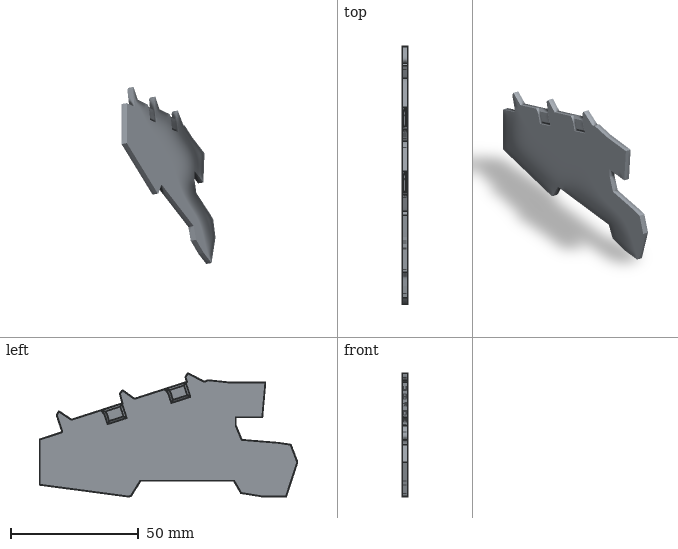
import cadquery as cq
import math

PLATE_THICKNESS = 2.2

RAMP_ANGLE = 18.0
RECESS_DEPTH = 1.7
RECESS_CORNERS = [(66.8, 30.8), (41.9, 39.0)]
INSERT_HEIGHT = 6.1
INSERT_FOOT_WIDTH = 7.9
INSERT_TOP_WIDTH = 8.9
FLARE_START = 3.6
INSERT_FRONT_GAP = 0.4
BEVEL_WIDTH = 1.0
BEVEL_DEPTH = 0.9
CUT_MARGIN = 0.4

PLATE_OUTLINE = [
    (100.9, 4.6), (66.0, 0.0), (65.1, 0.3), (61.4, 6.2), (24.8, 6.2),
    (22.1, 1.4), (13.4, 0.0), (4.4, 0.0),
    (0.0, 13.5), (2.6, 20.4), (7.2, 21.1), (21.8, 22.3), (24.1, 27.8), (24.1, 31.1),
    (13.7, 31.1), (12.5, 44.7), (26.3, 44.7), (34.9, 45.6), (36.4, 45.0),
    (42.9, 48.3), (43.9, 46.8), (43.3, 44.9), (63.7, 38.3),
    (68.4, 41.7), (69.5, 40.3), (68.5, 36.5), (88.4, 30.2),
    (93.3, 33.4), (94.2, 32.0), (92.0, 25.3), (100.9, 22.4),
]


def pocket_plane(corner, depth):
    """Plane at the given depth, local x along the ramp toward +Y, local y up the recess."""
    angle = math.radians(RAMP_ANGLE)
    y, z = corner
    ramp_direction = (0, math.cos(angle), -math.sin(angle))
    return cq.Plane(origin=(depth, y, z), xDir=ramp_direction, normal=(1, 0, 0))


def flared_prism(corner, depth, length, top_extension=0.0):
    """Block with one curved, flared side, extruded along +X from the given depth."""
    flare_middle = (
        INSERT_FOOT_WIDTH + (INSERT_TOP_WIDTH - INSERT_FOOT_WIDTH) / 4,
        (FLARE_START + INSERT_HEIGHT) / 2,
    )
    profile = (
        cq.Workplane(pocket_plane(corner, depth))
        .lineTo(INSERT_FOOT_WIDTH, 0)
        .lineTo(INSERT_FOOT_WIDTH, FLARE_START)
        .threePointArc(flare_middle, (INSERT_TOP_WIDTH, INSERT_HEIGHT))
    )
    if top_extension:
        profile = profile.lineTo(INSERT_TOP_WIDTH, INSERT_HEIGHT + top_extension)
    return profile.lineTo(0, INSERT_HEIGHT + top_extension).close().extrude(length)


def make_plate():
    plate = cq.Workplane("YZ").polyline(PLATE_OUTLINE).close().extrude(PLATE_THICKNESS)
    for corner in RECESS_CORNERS:
        plate = plate.cut(flared_prism(corner, 0, RECESS_DEPTH, CUT_MARGIN))
    return plate


def make_insert(corner):
    """Insert seated on the recess floor, with its outer face bevelled all round."""
    block = flared_prism(corner, INSERT_FRONT_GAP, RECESS_DEPTH - INSERT_FRONT_GAP)
    return block.faces("<X").chamfer(BEVEL_DEPTH, BEVEL_WIDTH)


plate = make_plate()
inserts = [make_insert(corner) for corner in RECESS_CORNERS]
result = cq.Compound.makeCompound([plate.val(), *[insert.val() for insert in inserts]])